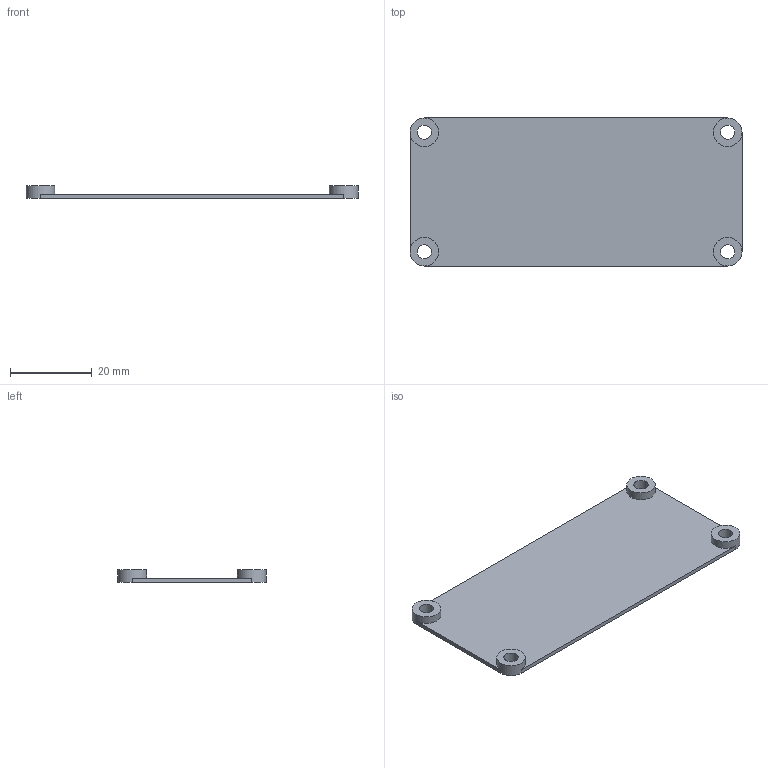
import cadquery as cq

plate_length = 81.17
plate_width = 36.21
plate_thickness = 1.0
boss_diameter = 7.0
boss_height = 3.0
hole_diameter = 3.5

corner_cut = boss_diameter / 2
hole_spacing_x = plate_length - boss_diameter
hole_spacing_y = plate_width - boss_diameter


def at_corners():
    """Workplane on the underside with a point at each corner centre."""
    return cq.Workplane("XY").rect(hole_spacing_x, hole_spacing_y, forConstruction=True).vertices()


def make_plate():
    """Thin flat plate with its corners cut off, its underside on Z = 0."""
    plate = cq.Workplane("XY").box(plate_length, plate_width, plate_thickness, centered=(True, True, False))
    return plate.edges("|Z").chamfer(corner_cut)


def make_corner_cylinders(diameter):
    """Cylinders of the full boss height at the four corners."""
    return at_corners().circle(diameter / 2).extrude(boss_height)


bosses = make_corner_cylinders(boss_diameter)
through_holes = make_corner_cylinders(hole_diameter)

result = make_plate().union(bosses).cut(through_holes)